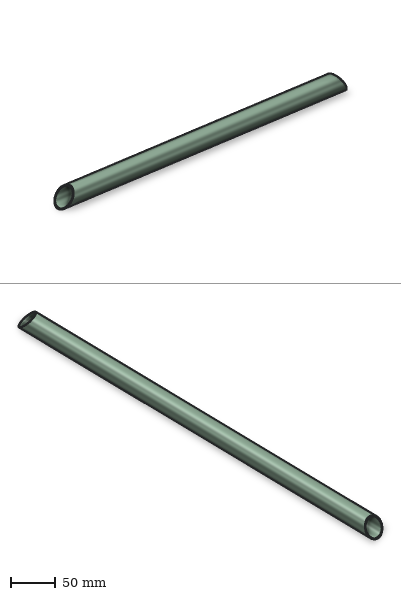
import cadquery as cq

length = 491.0
outer_diameter = 25.0
wall = 1.5
end_setback = 17.0

outer_radius = outer_diameter / 2
half_length = length / 2
half_top_length = half_length - end_setback


def make_tube():
    """Straight round tube along Y, centred on the origin."""
    return (
        cq.Workplane("XZ")
        .circle(outer_radius)
        .circle(outer_radius - wall)
        .extrude(half_length, both=True)
    )


def make_mitre_envelope():
    """Trapezoidal block whose sloping ends cut the tube's two mitres."""
    side_profile = [
        (-half_length, -outer_radius),
        (half_length, -outer_radius),
        (half_top_length, outer_radius),
        (-half_top_length, outer_radius),
    ]
    return (
        cq.Workplane("YZ")
        .polyline(side_profile)
        .close()
        .extrude(outer_diameter, both=True)
    )


result = make_tube().intersect(make_mitre_envelope())